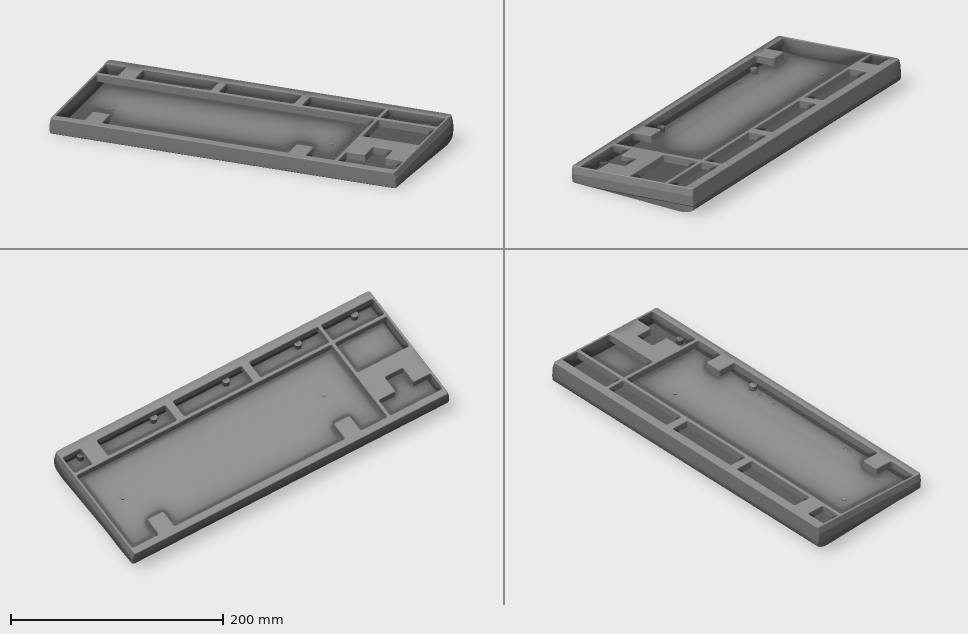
import cadquery as cq
import math


TILT = 4.5
LENGTH = 356.5
OVERALL_DEPTH = 138.5
HEIGHT = 26.7
PARTING = 10.7
WALL_DEPTH = 17.0
CORNER_RADIUS = 2.0
FLANK_WIDTH = 1.8
FLANK_DEPTH = 7.0
EDGE_CHAMFER = 0.55
SLAB_CHAMFER = 1.0

SLOPE = math.radians(TILT)
SLAB_DEPTH = WALL_DEPTH + SLAB_CHAMFER
CASE_DEPTH = (OVERALL_DEPTH - (WALL_DEPTH - EDGE_CHAMFER) * math.sin(SLOPE)) / math.cos(SLOPE)
FRONT_Y = -OVERALL_DEPTH / 2 - EDGE_CHAMFER * math.sin(SLOPE)
FRONT_Z = HEIGHT - (CASE_DEPTH - EDGE_CHAMFER) * math.sin(SLOPE)

FOOT_INSET_X = 1.0
FOOT_INSET_Y = 0.7
FOOT_CURVE_LENGTH = 17.0
FOOT_CURVE_HEIGHT = 6.0
BASE_CHAMFER = 0.55

LAYOUT_WIDTH = 347.7
COLUMNS = 18.25
PITCH = LAYOUT_WIDTH / COLUMNS
KEY_CLEARANCE = 0.65
OPENING_RADIUS = 1.8
FRONT_ROW_Y = 8.2
FUNCTION_ROW = 5.25
NAV_COLUMN = 15.25
PLATE = 8.0

OPENINGS = (
    [(0, FUNCTION_ROW, 1, 1)],
    [(2, FUNCTION_ROW, 4, 1)],
    [(6.5, FUNCTION_ROW, 4, 1)],
    [(11, FUNCTION_ROW, 4, 1)],
    [(NAV_COLUMN, FUNCTION_ROW, 3, 1)],
    [(0, 1.05, 15, 3.95), (0, 0, 1.5, 2), (2.5, 0, 10, 2), (13.5, 0, 1.5, 2)],
    [(NAV_COLUMN, 3, 3, 2)],
    [(NAV_COLUMN, 0, 3, 1), (NAV_COLUMN + 1, 0, 1, 2)],
)

LEDGE = 2.5
FLOOR = 16.8
LEVEL_FLOOR_Y = -43.5
LEVEL_FLOOR_Z = FRONT_Z + (LEVEL_FLOOR_Y - FRONT_Y) * math.tan(SLOPE) - FLOOR / math.cos(SLOPE)

POST_DIAMETER = 7.0
POST_TOP = 10.7
REAR_POST_Y = 128.0
REAR_POSTS_X = (-153.7, -71.7, 9.5, 90.5, 154.5)
FRONT_POST_Y = 8.5
FRONT_POSTS_X = (-120.0, 38.0, 136.2)
RECESS_WIDTH = 4.5
RECESS_DEPTH = 0.5
RECESS_Y = -57.0
ROUND_RECESSES_X = (7.0, 26.5)
SLOT_RECESS_X = -90.5
SLOT_RECESS_LENGTH = 10.0

WEIGHT_LENGTH = 239.0
WEIGHT_WIDTH = 50.3
WEIGHT_X = -31.5
WEIGHT_Y = 69.2
WEIGHT_RADIUS = 1.8
SCREW_SPACING = 226.0
SCREW_BOSS = 4.3
SCREW_BOSS_HEIGHT = 1.0


def place(flat):
    """Tilt a shape from the flat frame into its place in the case."""
    return flat.rotate((0, 0, 0), (1, 0, 0), TILT).translate((0, FRONT_Y, FRONT_Z))


def block(x0, y0, x1, y1, top, bottom):
    """Plain block of the flat frame between two depths."""
    return (
        cq.Workplane("XY", origin=((x0 + x1) / 2, (y0 + y1) / 2, -bottom))
        .rect(x1 - x0, y1 - y0)
        .extrude(bottom - top)
    )


def key_block(column, row, columns, rows, top, bottom, extra_y=0):
    """Block round a group of keys with its clearance, lengthened at the front and rear by extra_y."""
    left = column * PITCH - LAYOUT_WIDTH / 2
    front = FRONT_ROW_Y + row * PITCH
    return block(
        left - KEY_CLEARANCE,
        front - KEY_CLEARANCE - extra_y,
        left + columns * PITCH + KEY_CLEARANCE,
        front + rows * PITCH + KEY_CLEARANCE + extra_y,
        top,
        bottom,
    )


def cavity(top, bottom):
    """Round-cornered space under the whole key layout, between two depths."""
    whole = key_block(0, 0, COLUMNS, FUNCTION_ROW + 1, top, bottom, LEDGE)
    return whole.edges("|Z").fillet(OPENING_RADIUS)


def opening(groups):
    """Opening for one or more joined groups of keys, round-cornered and widened at the top edge."""
    shape = key_block(*groups[0], 0, PARTING)
    for group in groups[1:]:
        shape = shape.union(key_block(*group, 0, PARTING))
    shape = shape.clean().edges("|Z").fillet(OPENING_RADIUS)
    rim = shape.faces(">Z").wires().toPending().workplane().offset2D(EDGE_CHAMFER)
    taper = rim.extrude(-EDGE_CHAMFER, combine=False, taper=45)
    return shape.union(taper)


def make_top_case():
    """Sloping frame with flanked ends and the key openings."""
    half = LENGTH / 2
    case = (
        cq.Workplane("XZ")
        .polyline([
            (-half, -PARTING),
            (half, -PARTING),
            (half, -FLANK_DEPTH),
            (half - FLANK_WIDTH, 0),
            (FLANK_WIDTH - half, 0),
            (-half, -FLANK_DEPTH),
        ])
        .close()
        .extrude(-CASE_DEPTH)
    )
    case = case.faces("<Y or >Y").edges("not |X").fillet(CORNER_RADIUS)
    case = case.faces(">Z").edges().chamfer(EDGE_CHAMFER)
    case = case.cut(cavity(PLATE, PARTING))
    for groups in OPENINGS:
        case = case.cut(opening(groups))
    return place(case)


def weight_plate():
    """Plain weight plate in the flat frame, flush with the sloping floor."""
    return (
        cq.Workplane("XY", origin=(WEIGHT_X, WEIGHT_Y, -SLAB_DEPTH))
        .rect(WEIGHT_LENGTH, WEIGHT_WIDTH)
        .extrude(SLAB_DEPTH - FLOOR)
        .edges("|Z")
        .fillet(WEIGHT_RADIUS)
    )


def make_weight():
    """Weight plate with a raised screw boss at each end."""
    bosses = (
        cq.Workplane("XY", origin=(WEIGHT_X, WEIGHT_Y, -FLOOR))
        .rarray(SCREW_SPACING, 3.5, 2, 1)
        .circle(SCREW_BOSS / 2)
        .extrude(SCREW_BOSS_HEIGHT)
    )
    return place(weight_plate().union(bosses))


def make_foot():
    """Level wedge that the case stands on, with an elliptical rear edge."""
    rear = OVERALL_DEPTH / 2 - FOOT_INSET_Y
    front = FRONT_Y + PARTING
    return (
        cq.Workplane("YZ", origin=(FOOT_INSET_X - LENGTH / 2, 0, 0))
        .moveTo(rear - FOOT_CURVE_LENGTH, 0)
        .ellipseArc(FOOT_CURVE_LENGTH, FOOT_CURVE_HEIGHT, 270, 360, startAtCurrent=True)
        .lineTo(rear, HEIGHT - WALL_DEPTH)
        .lineTo(front, 0)
        .close()
        .extrude(LENGTH - 2 * FOOT_INSET_X)
    )


def make_posts(columns, y):
    """Round screw posts, from the slab's underside up to their tops."""
    points = [(x, y) for x in columns]
    return place(
        cq.Workplane("XY", origin=(0, 0, -SLAB_DEPTH))
        .pushPoints(points)
        .circle(POST_DIAMETER / 2)
        .extrude(SLAB_DEPTH - POST_TOP)
    )


def cut_recesses(case):
    """Shallow round and slot-shaped recesses in the level part of the floor."""
    floor = cq.Plane(origin=(0, RECESS_Y, LEVEL_FLOOR_Z))
    centers = [(x, 0) for x in ROUND_RECESSES_X]
    rounds = cq.Workplane(floor).pushPoints(centers).circle(RECESS_WIDTH / 2).extrude(-RECESS_DEPTH)
    slot = cq.Workplane(floor).center(SLOT_RECESS_X, 0).slot2D(SLOT_RECESS_LENGTH, RECESS_WIDTH)
    return case.cut(rounds).cut(slot.extrude(-RECESS_DEPTH))


def above(z):
    """All the space around the case above a level plane."""
    return cq.Workplane("XY", origin=(0, 0, z)).rect(2 * LENGTH, 2 * LENGTH).extrude(2 * HEIGHT)


def make_bottom_case():
    """Sloping tray on its foot, with posts, recesses and the seat of the weight."""
    slab = block(-LENGTH / 2, 0, LENGTH / 2, CASE_DEPTH, PARTING, SLAB_DEPTH)
    slab = slab.edges("|Z").fillet(CORNER_RADIUS).faces("<Z").chamfer(SLAB_CHAMFER)
    case = place(slab).intersect(above(0))
    case = case.faces("<Y").edges("<Z").chamfer(BASE_CHAMFER)
    case = case.union(make_foot())
    inside = place(cavity(PARTING, FLOOR)).intersect(above(LEVEL_FLOOR_Z))
    case = case.cut(inside)
    case = cut_recesses(case)
    for columns, y in ((REAR_POSTS_X, REAR_POST_Y), (FRONT_POSTS_X, FRONT_POST_Y)):
        posts = make_posts(columns, y).intersect(above(LEVEL_FLOOR_Z - RECESS_DEPTH))
        case = case.union(posts)
    return case.cut(place(weight_plate()))


top_case = make_top_case()
bottom_case = make_bottom_case()
weight = make_weight()
result = cq.Compound.makeCompound([top_case.val(), bottom_case.val(), weight.val()])